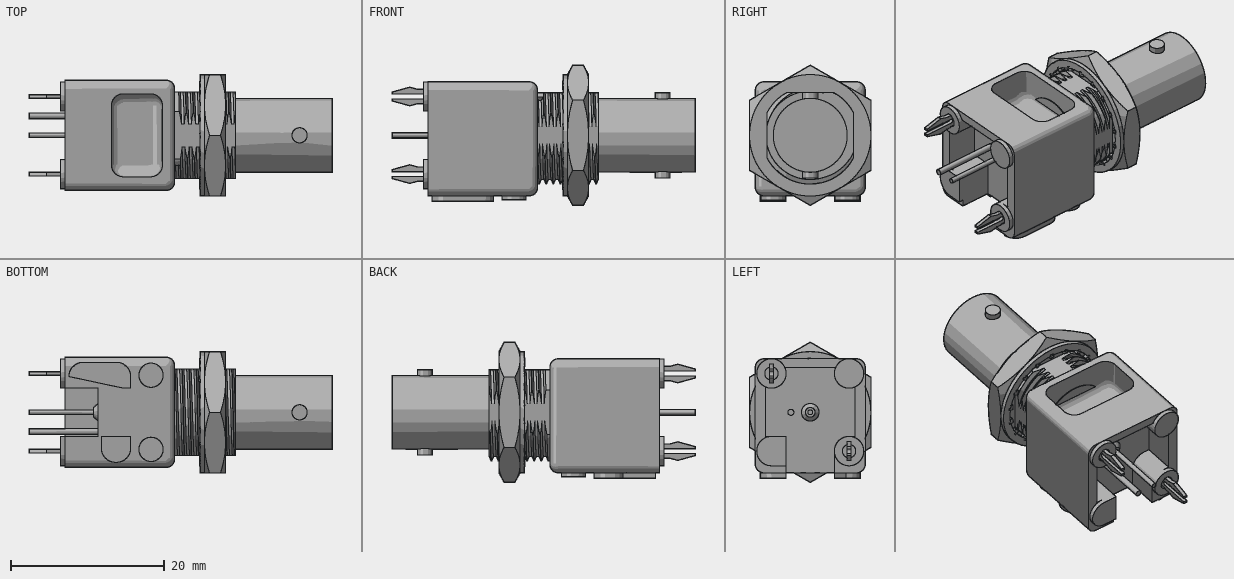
import cadquery as cq
import math

rear_tip_x = -4.67
front_tip_x = 34.93

housing_length = 14.35
housing_half_width = 7.2
housing_top_z = 7.0
housing_bottom_z = -7.92
long_edge_fillet = 1.2
front_edge_fillet = 1.1

cavity_depth = 4.3
cavity_half_width = 5.82
post_offset = 5.05
post_radius = 1.92
pad_height = 0.6
post_inner = post_offset - post_radius
post_outer = post_offset + post_radius

clip_hole_radius = 0.87
clip_hole_depth = 1.25
clip_root_x = clip_hole_depth - pad_height
clip_thickness = 0.5
clip_barb_x = -2.38
clip_neck_x = -1.35
clip_half_gap = 0.297
clip_tip_half_height = 0.6
clip_barb_half_height = 1.23
clip_neck_half_height = 0.95

centre_pin_radius = 0.3
centre_cone_base_radius = 1.15
centre_cone_top_radius = 0.65
centre_cone_height = 0.55
side_pin_radius = 0.4
side_pin_y = 2.55

window_rear_x = 6.05
window_front_x = 12.75
window_half_width = 5.43
window_corner_radius = 1.6
window_floor_fillet = 1.5
window_depth = 4.85
insert_radius = 4.65
insert_height = 0.08

long_foot_rear_x = 0.5
foot_front_x = 8.6
foot_outer_y = 6.55
foot_round = 1.85
foot_height = 0.7
long_foot_bevel = 7.13
short_foot_rear_x = 4.75
peg_x = 11.25
peg_radius = 1.6
peg_height = 0.5

thread_end_x = 22.3
thread_radius = 6.38
thread_root_radius = 5.8
thread_pitch = 0.93
groove_floor_width = 0.35
groove_mouth_width = 0.89
groove_overshoot = 0.02
groove_start_x = 14.6
groove_start_angle = 38.0
neck_flat_y = 5.65
neck_flat_z = 5.6

washer_rear_x = 17.65
washer_radius = 7.92
washer_bore_radius = 6.85
tooth_inner_radius = 6.45
tooth_outer_radius = 7.1
tooth_count = 18
tooth_width = 0.65
tooth_twist = 12.0

nut_rear_x = 18.2
nut_front_x = 21.0
nut_across_corners = 18.35
nut_chamfer_length = 0.67

barrel_radius = 4.85
stud_x = 30.65
stud_radius = 1.0
stud_reach = 5.6


def box(x_range, y_range, z_range):
    """Axis-aligned box between the given limits."""
    sizes = [high - low for low, high in (x_range, y_range, z_range)]
    corner = cq.Vector(x_range[0], y_range[0], z_range[0])
    return cq.Workplane(cq.Solid.makeBox(*sizes, corner))


def x_cylinder(radius, x_start, x_end, y=0.0, z=0.0):
    """Cylinder parallel to the connector axis."""
    start = cq.Vector(x_start, y, z)
    return cq.Workplane(cq.Solid.makeCylinder(radius, x_end - x_start, start, cq.Vector(1, 0, 0)))


def make_housing():
    housing = box(
        (0, housing_length),
        (-housing_half_width, housing_half_width),
        (housing_bottom_z, housing_top_z),
    )
    housing = housing.edges("|X").fillet(long_edge_fillet)
    return housing.faces(">X").edges().fillet(front_edge_fillet)


def make_cavity():
    """Rear recess, open at the bottom, that leaves the four corner posts standing."""
    cavity = box(
        (0, cavity_depth),
        (-cavity_half_width, cavity_half_width),
        (-post_inner, cavity_half_width),
    )
    for side in (-1, 1):
        cavity = cavity.cut(x_cylinder(post_radius, 0, cavity_depth, side * post_offset, post_offset))
    round_post_notch = box((0, cavity_depth), (-post_offset, -post_inner), (-post_offset, -post_inner))
    cavity = cavity.union(round_post_notch)
    cavity = cavity.cut(x_cylinder(post_radius, 0, cavity_depth, -post_offset, -post_offset))
    slot = box((0, cavity_depth), (-post_inner, post_inner), (housing_bottom_z, 0))
    return cavity.union(slot)


def make_pads():
    """Standoff pads on the posts; the one at +Y, -Z is squared on its inner side."""
    pads = x_cylinder(post_radius, -pad_height, 0, -post_offset, -post_offset)
    for y, z in ((-post_offset, post_offset), (post_offset, post_offset), (post_offset, -post_offset)):
        pads = pads.union(x_cylinder(post_radius, -pad_height, 0, y, z))
    square_side = box((-pad_height, 0), (post_inner, post_offset), (-post_outer, -post_inner))
    return pads.union(square_side)


def make_clip(y, z):
    """Flat barbed clip, split into two prongs by a slot with a round end."""
    upper_outline = [
        (clip_root_x, clip_neck_half_height),
        (clip_neck_x, clip_neck_half_height),
        (clip_barb_x, clip_barb_half_height),
        (rear_tip_x, clip_tip_half_height),
    ]
    lower_outline = [(px, -height) for px, height in reversed(upper_outline)]
    clip = (
        cq.Workplane("XZ", origin=(0, y, z))
        .polyline(upper_outline + lower_outline)
        .close()
        .extrude(clip_thickness / 2, both=True)
    )
    slot = (
        cq.Workplane("XZ", origin=(0, y, z))
        .moveTo(rear_tip_x, clip_half_gap)
        .lineTo(-pad_height, clip_half_gap)
        .threePointArc((clip_half_gap - pad_height, 0), (-pad_height, -clip_half_gap))
        .lineTo(rear_tip_x, -clip_half_gap)
        .close()
        .extrude(clip_thickness / 2, both=True)
    )
    return clip.cut(slot)


def make_pins():
    cone_top_x = cavity_depth - centre_cone_height
    cone = cq.Workplane(
        cq.Solid.makeCone(
            centre_cone_base_radius,
            centre_cone_top_radius,
            centre_cone_height,
            cq.Vector(cavity_depth, 0, 0),
            cq.Vector(-1, 0, 0),
        )
    )
    centre_pin = x_cylinder(centre_pin_radius, rear_tip_x, cone_top_x)
    side_pin = x_cylinder(side_pin_radius, rear_tip_x, cavity_depth, side_pin_y)
    return cone.union(centre_pin).union(side_pin)


def make_window():
    """Rounded pocket sunk from the top, less the disc that stands on its front wall."""
    window = box(
        (window_rear_x, window_front_x),
        (-window_half_width, window_half_width),
        (housing_top_z - window_depth, housing_top_z),
    )
    window = window.edges("|Z").fillet(window_corner_radius)
    window = window.faces("<Z").edges().fillet(window_floor_fillet)
    return window.cut(x_cylinder(insert_radius, window_front_x - insert_height, window_front_x))


def make_foot(side, foot_rear_x, bevel_length):
    """Foot and round peg under one side; a bevel narrows the foot toward its rear end."""
    inner_y = side * post_inner
    outer_y = side * foot_outer_y
    shoulder_y = side * (foot_outer_y - foot_round)
    arc_inset = foot_round * (1 - math.sqrt(0.5))
    foot = (
        cq.Workplane("XY", origin=(0, 0, housing_bottom_z))
        .moveTo(foot_rear_x + bevel_length, inner_y)
        .lineTo(foot_rear_x, shoulder_y)
        .threePointArc(
            (foot_rear_x + arc_inset, side * (foot_outer_y - arc_inset)),
            (foot_rear_x + foot_round, outer_y),
        )
        .lineTo(foot_front_x - foot_round, outer_y)
        .threePointArc(
            (foot_front_x - arc_inset, side * (foot_outer_y - arc_inset)),
            (foot_front_x, shoulder_y),
        )
        .lineTo(foot_front_x, inner_y)
        .close()
        .extrude(-foot_height)
    )
    peg_y = side * (post_inner + foot_outer_y) / 2
    peg = cq.Workplane("XY", origin=(peg_x, peg_y, housing_bottom_z)).circle(peg_radius).extrude(-peg_height)
    return foot.union(peg)


def make_thread_groove():
    """Right-hand helical groove of trapezoidal section."""
    groove_length = thread_end_x + thread_pitch - groove_start_x
    mouth_radius = thread_radius + groove_overshoot
    path = cq.Wire.makeHelix(thread_pitch, groove_length, thread_root_radius)
    section = [
        (thread_root_radius, -groove_floor_width / 2),
        (mouth_radius, -groove_mouth_width / 2),
        (mouth_radius, groove_mouth_width / 2),
        (thread_root_radius, groove_floor_width / 2),
    ]
    groove = cq.Workplane("XZ").polyline(section).close().sweep(cq.Workplane(path), isFrenet=True)
    groove = groove.rotate((0, 0, 0), (0, 1, 0), 90)
    groove = groove.rotate((0, 0, 0), (1, 0, 0), groove_start_angle - 180)
    return groove.translate((groove_start_x, 0, 0))


def neck_envelope(x_start, x_end):
    """Space inside the neck flats at +Y, -Y and +Z."""
    return box((x_start, x_end), (-neck_flat_y, neck_flat_y), (-thread_radius, neck_flat_z))


def make_plain_neck():
    """Unthreaded stretch of the neck, hidden inside the washer and the nut."""
    x_range = (washer_rear_x, nut_front_x)
    return x_cylinder(thread_radius, *x_range).intersect(neck_envelope(*x_range))


def make_threaded_necks():
    """Threaded stretches of the neck behind the washer and in front of the nut."""
    neck_start_x = housing_length - front_edge_fillet
    neck = x_cylinder(thread_radius, neck_start_x, thread_end_x).cut(make_thread_groove())
    stretches = ((neck_start_x, washer_rear_x), (nut_front_x, thread_end_x))
    return [neck.intersect(neck_envelope(*x_range)) for x_range in stretches]


def make_washer():
    """Lock washer with a ring of twisted internal teeth."""
    washer = x_cylinder(washer_radius, washer_rear_x, nut_rear_x)
    washer = washer.cut(x_cylinder(washer_bore_radius, washer_rear_x, nut_rear_x))
    thickness = nut_rear_x - washer_rear_x
    tooth_mid_x = (washer_rear_x + nut_rear_x) / 2
    for index in range(tooth_count):
        tooth = box(
            (tooth_mid_x - thickness / 2, tooth_mid_x + thickness / 2),
            (-tooth_width / 2, tooth_width / 2),
            (tooth_inner_radius, tooth_outer_radius),
        )
        tooth = tooth.rotate((tooth_mid_x, 0, 0), (tooth_mid_x, 0, 1), tooth_twist)
        tooth = tooth.rotate((0, 0, 0), (1, 0, 0), index * 360 / tooth_count)
        washer = washer.union(tooth)
    return washer


def make_nut():
    """Hexagon nut with corners up and down, chamfered on both faces."""
    corner_radius = nut_across_corners / 2
    face_radius = corner_radius * math.cos(math.pi / 6)
    hexagon = (
        cq.Workplane("YZ", origin=(nut_rear_x, 0, 0))
        .polygon(6, nut_across_corners)
        .extrude(nut_front_x - nut_rear_x)
        .rotate((0, 0, 0), (1, 0, 0), 90)
    )
    envelope = (
        cq.Workplane("XY")
        .moveTo(nut_rear_x, 0)
        .lineTo(nut_rear_x, face_radius)
        .lineTo(nut_rear_x + nut_chamfer_length, corner_radius)
        .lineTo(nut_front_x - nut_chamfer_length, corner_radius)
        .lineTo(nut_front_x, face_radius)
        .lineTo(nut_front_x, 0)
        .close()
        .revolve(360, (0, 0, 0), (1, 0, 0))
    )
    return hexagon.intersect(envelope)


def make_barrel():
    barrel = x_cylinder(barrel_radius, nut_front_x, front_tip_x)
    studs = (
        cq.Workplane("XY", origin=(stud_x, 0, 0))
        .circle(stud_radius)
        .extrude(stud_reach, both=True)
    )
    return barrel.union(studs)


result = make_housing().cut(make_cavity()).cut(make_window()).union(make_pads())
for clip_y, clip_z in ((post_offset, post_offset), (-post_offset, -post_offset)):
    result = result.cut(x_cylinder(clip_hole_radius, -pad_height, clip_root_x, clip_y, clip_z))
    result = result.union(make_clip(clip_y, clip_z))
result = result.union(make_pins())
result = result.union(make_foot(-1, long_foot_rear_x, long_foot_bevel))
result = result.union(make_foot(1, short_foot_rear_x, 0))
for threaded_neck in make_threaded_necks():
    result = result.union(threaded_neck)
for front_piece in (make_plain_neck(), make_barrel(), make_nut(), make_washer()):
    result = result.union(front_piece)